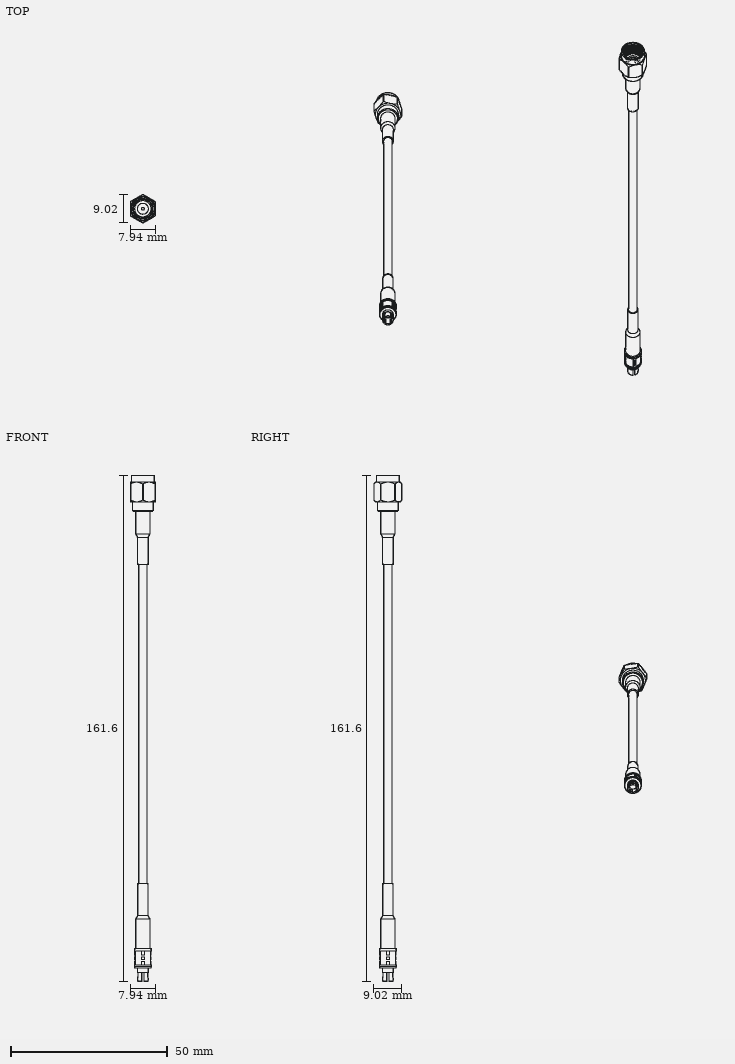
import cadquery as cq
import math

total_length = 161.58
top_z = total_length / 2
bottom_z = -total_length / 2
quarter_turns = (0, 90, 180, 270)

ferrule_radius = 2.3
cone_height = 1.1
collar_chamfer = 0.3

cable_radius = 1.35
cable_top_z = 52.3
cable_bottom_z = -49.6

nut_across_flats = 7.94
nut_across_corners = 9.02
nut_top_z = 78.6
nut_bottom_z = 72.3
nut_chamfer_angle = 45
rim_radius = 3.7
collar_radius = 3.35
collar_bottom_z = 69.3
screw_ferrule_bottom_z = 61.0
screw_sleeve_radius = 1.75

socket_radius = 3.0
socket_depth = 5.2
socket_chamfer = 0.3
thread_pitch = 0.7
thread_depth = 0.3
thread_count = 6
shell_radius = 2.6
shell_recess = 4.4
dielectric_radius = 1.75
contact_pin_radius = 0.45
contact_pin_recess = 3.4

snap_sleeve_radius = 1.65
snap_ferrule_top_z = -59.8
flange_radius = 2.75
flange_top_z = -70.4
grip_radius = 2.45
grip_top_z = -71.15
grip_bottom_z = -75.55
rib_radius = 2.65
rib_width = 0.9
rib_gap_height = 0.7
rib_gap_middles_z = (-72.75, -74.2)
end_ring_bottom_z = -76.6
end_ring_chamfer = 0.2
end_ring_chamfer_height = 0.5
neck_radius = 1.75
nose_radius = 1.65
nose_top_z = -78.0
bead_radius = 1.75
bead_height = 1.4
bead_slope_height = 0.45

nose_bore_radius = 1.2
nose_slot_width = 0.6
nose_slot_depth = nose_top_z - bottom_z


def revolved(profile):
    """Turn (radius, z) points, closed along the Z axis, into a solid of revolution."""
    return cq.Workplane("XZ").polyline(profile).close().revolve(360, (0, 0, 0), (0, 1, 0))


def rod(radius, low_z, high_z):
    return cq.Workplane("XY").workplane(offset=low_z).circle(radius).extrude(high_z - low_z)


def ring(outer_radius, inner_radius, low_z, high_z):
    return rod(outer_radius, low_z, high_z).cut(rod(inner_radius, low_z, high_z))


def make_cable():
    return rod(cable_radius, cable_bottom_z, cable_top_z)


def make_nut():
    flat_radius = nut_across_flats / 2
    corner_radius = nut_across_corners / 2
    hexagon = (
        cq.Workplane("XY").workplane(offset=nut_bottom_z)
        .polygon(6, nut_across_flats, circumscribed=True)
        .extrude(nut_top_z - nut_bottom_z)
    )
    drop = (corner_radius - flat_radius) * math.tan(math.radians(nut_chamfer_angle))
    turned_blank = revolved([
        (0, nut_bottom_z), (flat_radius, nut_bottom_z),
        (corner_radius, nut_bottom_z + drop), (corner_radius, nut_top_z - drop),
        (flat_radius, nut_top_z), (0, nut_top_z),
    ])
    return hexagon.intersect(turned_blank)


def make_screw_plug():
    cone_top_z = screw_ferrule_bottom_z + cone_height
    plug = revolved([
        (0, cable_top_z), (screw_sleeve_radius, cable_top_z),
        (screw_sleeve_radius, screw_ferrule_bottom_z), (ferrule_radius, cone_top_z),
        (ferrule_radius, collar_bottom_z), (collar_radius - collar_chamfer, collar_bottom_z),
        (collar_radius, collar_bottom_z + collar_chamfer), (collar_radius, nut_bottom_z),
        (rim_radius, nut_bottom_z), (rim_radius, top_z), (0, top_z),
    ]).union(make_nut())

    floor_z = top_z - socket_depth
    plug = plug.cut(revolved([
        (0, floor_z), (socket_radius, floor_z), (socket_radius, top_z - socket_chamfer),
        (socket_radius + socket_chamfer, top_z), (0, top_z),
    ]))
    for turn in range(thread_count):
        groove_top_z = top_z - socket_chamfer - (turn + 0.5) * thread_pitch
        groove_bottom_z = groove_top_z - thread_pitch / 2
        plug = plug.cut(rod(socket_radius + thread_depth, groove_bottom_z, groove_top_z))

    shell = ring(shell_radius, dielectric_radius, floor_z, top_z - shell_recess)
    pin = rod(contact_pin_radius, floor_z, top_z - contact_pin_recess)
    return plug.union(shell).union(pin)


def make_snap_plug():
    end_ring_chamfer_z = end_ring_bottom_z + end_ring_chamfer_height
    bead_top_z = bottom_z + bead_height
    plug = revolved([
        (0, cable_bottom_z), (snap_sleeve_radius, cable_bottom_z),
        (snap_sleeve_radius, snap_ferrule_top_z),
        (ferrule_radius, snap_ferrule_top_z - cone_height), (ferrule_radius, flange_top_z),
        (flange_radius, flange_top_z), (flange_radius, grip_top_z),
        (grip_radius, grip_top_z), (grip_radius, grip_bottom_z),
        (flange_radius, grip_bottom_z), (flange_radius, end_ring_chamfer_z),
        (flange_radius - end_ring_chamfer, end_ring_bottom_z), (neck_radius, end_ring_bottom_z),
        (neck_radius, nose_top_z), (nose_radius, nose_top_z), (nose_radius, bead_top_z),
        (bead_radius, bead_top_z - bead_slope_height), (bead_radius, bottom_z + bead_slope_height),
        (nose_radius, bottom_z), (0, bottom_z),
    ])
    rib = (
        cq.Workplane("XY").workplane(offset=grip_bottom_z)
        .center(rib_radius / 2, 0).rect(rib_radius, rib_width)
        .extrude(grip_top_z - grip_bottom_z)
    )
    for middle_z in rib_gap_middles_z:
        low_z = middle_z - rib_gap_height / 2
        rib = rib.cut(rod(flange_radius, low_z, low_z + rib_gap_height))
    slot = (
        cq.Workplane("XY").workplane(offset=bottom_z)
        .center(neck_radius / 2, 0).rect(neck_radius, nose_slot_width)
        .extrude(nose_slot_depth)
    )
    plug = plug.cut(rod(nose_bore_radius, bottom_z, end_ring_bottom_z))
    for angle in quarter_turns:
        plug = plug.union(rib.rotate((0, 0, 0), (0, 0, 1), angle))
        plug = plug.cut(slot.rotate((0, 0, 0), (0, 0, 1), angle))
    return plug


cable = make_cable()
screw_plug = make_screw_plug()
snap_plug = make_snap_plug()
result = cq.Compound.makeCompound([cable.val(), screw_plug.val(), snap_plug.val()])